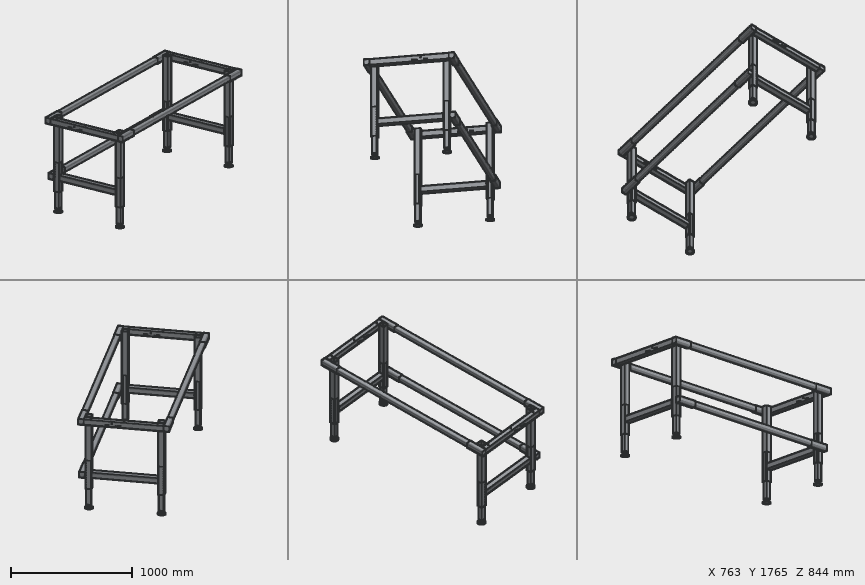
import cadquery as cq
LENGTH = 1765.0
WIDTH = 763.0
HEIGHT = 844.0

LEG_SIZE = 56.0
INNER_LEG_SIZE = 46.0
TUBE_WALL = 5.0
SOCKET_WIDTH = 50.0
SOCKET_HEIGHT = 56.0
RAIL_WIDTH = 45.0
RAIL_HEIGHT = 48.0
CORNER_RADIUS = 7.0
WIDE_CORNER_RADIUS = 10.0
SOCKET_BOTTOM_RADIUS = 9.0
TIGHT_CORNER_RADIUS = 2.6
RAIL_BOTTOM_RADIUS = 15.0

OUTER_LEG_BOTTOM = 184.0
INNER_LEG_BOTTOM = 32.0
INNER_LEG_TOP = 441.0
LEG_X = WIDTH / 2 - SOCKET_WIDTH - LEG_SIZE / 2
LEG_Y = LENGTH / 2 - SOCKET_WIDTH - LEG_SIZE / 2

BASE_DIAMETER = 70.0
BASE_HEIGHT = 4.0
PAD_DIAMETER = 48.0
PAD_TOP = 12.0
STUD_DIAMETER = 15.0
NUT_DIAMETER = 18.0
NUT_BOTTOM = 21.0
STUD_TOP = 46.0

SOCKET_X = WIDTH / 2 - SOCKET_WIDTH / 2
TOP_SOCKET_LENGTH = 170.0
LOW_SOCKET_LENGTH = 177.0
SOCKET_END_WALL = 4.0
TOP_SOCKET_END = LENGTH / 2
LOW_SOCKET_END = 839.0
TOP_LEVEL = HEIGHT - SOCKET_HEIGHT / 2
LOW_LEVEL = 310.0

TOP_HOLE_DIAMETER = 7.0
TOP_HOLE_SPACING = 279.0
SIDE_HOLE_DIAMETER = 7.0
SIDE_HOLES = [(-97.0, 820.0), (-65.0, 800.0)]
SLOT_HEIGHT = 7.0
SIDE_SLOTS = [(-140.0, 805.0, 30.0), (-35.0, 805.0, 25.0)]

CROSSBAR_Y = LENGTH / 2 - SOCKET_WIDTH / 2
TOP_CROSSBAR_LENGTH = WIDTH - 2 * SOCKET_WIDTH
LOW_CROSSBAR_LENGTH = 2 * LEG_X - LEG_SIZE


def rounded_bar(size, centre, axis, wide_side, radius, wide_radius):
    """Box along one axis; the two long edges on wide_side get wide_radius, the others radius."""
    opposite_side = wide_side.translate(str.maketrans("<>", "><"))
    bar = cq.Workplane("XY").box(*size)
    bar = bar.faces(wide_side).edges("|" + axis).fillet(wide_radius)
    bar = bar.faces(opposite_side).edges("|" + axis).fillet(radius)
    return bar.translate(centre)


def plain_box(size, centre):
    return cq.Workplane("XY").box(*size).translate(centre)


def vertical_cylinder(diameter, bottom, top):
    return cq.Workplane("XY").workplane(offset=bottom).circle(diameter / 2).extrude(top - bottom)



def outer_leg(x):
    """Square tube, open at both ends, with its wider corners toward the middle of the table."""
    length = HEIGHT - OUTER_LEG_BOTTOM
    centre = (x, LEG_Y, OUTER_LEG_BOTTOM + length / 2)
    return rounded_bar((LEG_SIZE, LEG_SIZE, length), centre, "Z", "<Y", CORNER_RADIUS, WIDE_CORNER_RADIUS)


def outer_leg_bore(x):
    bore = LEG_SIZE - 2 * TUBE_WALL
    length = HEIGHT - OUTER_LEG_BOTTOM
    return plain_box((bore, bore, length), (x, LEG_Y, OUTER_LEG_BOTTOM + length / 2))


def inner_leg(x):
    """Telescoping tube, open at the top and closed by a floor at the bottom."""
    length = INNER_LEG_TOP - INNER_LEG_BOTTOM
    centre = (x, LEG_Y, INNER_LEG_BOTTOM + length / 2)
    tube = rounded_bar(
        (INNER_LEG_SIZE, INNER_LEG_SIZE, length), centre, "Z", "<Y", TIGHT_CORNER_RADIUS, WIDE_CORNER_RADIUS
    )
    bore = INNER_LEG_SIZE - 2 * TUBE_WALL
    return tube.cut(plain_box((bore, bore, length), (x, LEG_Y, centre[2] + TUBE_WALL)))


def foot(x):
    """Levelling foot: thin base, raised pad, hexagonal nut and a stud that enters the leg."""
    base = vertical_cylinder(BASE_DIAMETER, 0, BASE_HEIGHT)
    pad = vertical_cylinder(PAD_DIAMETER, BASE_HEIGHT, PAD_TOP)
    stud = vertical_cylinder(STUD_DIAMETER, PAD_TOP, STUD_TOP)
    nut = cq.Workplane("XY").workplane(offset=NUT_BOTTOM).polygon(6, NUT_DIAMETER)
    nut = nut.extrude(INNER_LEG_BOTTOM - NUT_BOTTOM)
    return base.union(pad).union(stud).union(nut).translate((x, LEG_Y, 0))


def top_crossbar():
    """Hollow bar between the top sockets, with holes in its top and through both of its sides."""
    centre = (0, CROSSBAR_Y, TOP_LEVEL)
    size = (TOP_CROSSBAR_LENGTH, SOCKET_WIDTH, SOCKET_HEIGHT)
    bar = rounded_bar(size, centre, "X", ">Z", TIGHT_CORNER_RADIUS, CORNER_RADIUS)
    bore = (TOP_CROSSBAR_LENGTH, SOCKET_WIDTH - 2 * TUBE_WALL, SOCKET_HEIGHT - 2 * TUBE_WALL)
    bar = bar.cut(plain_box(bore, centre))

    for x in (-TOP_HOLE_SPACING, 0, TOP_HOLE_SPACING):
        hole = vertical_cylinder(TOP_HOLE_DIAMETER, TOP_LEVEL, HEIGHT)
        bar = bar.cut(hole.translate((x, CROSSBAR_Y, 0)))

    side = cq.Workplane("XZ", origin=(0, LENGTH / 2, 0))
    bar = bar.cut(side.pushPoints(SIDE_HOLES).circle(SIDE_HOLE_DIAMETER / 2).extrude(SOCKET_WIDTH))
    for x, z, length in SIDE_SLOTS:
        bar = bar.cut(side.center(x, z).slot2D(length, SLOT_HEIGHT).extrude(SOCKET_WIDTH))
    return bar


def low_crossbar():
    """Hollow bar between the two legs, flush with their inner and outer sides."""
    centre = (0, LEG_Y, LOW_LEVEL)
    size = (LOW_CROSSBAR_LENGTH, LEG_SIZE, SOCKET_HEIGHT)
    bar = rounded_bar(size, centre, "X", ">Z", CORNER_RADIUS, WIDE_CORNER_RADIUS)
    bore = (LOW_CROSSBAR_LENGTH, LEG_SIZE - 2 * TUBE_WALL, SOCKET_HEIGHT - 2 * TUBE_WALL)
    return bar.cut(plain_box(bore, centre))


def socket(x, level, outer_end, length):
    """Box closed at its outer end, with the recess that takes the end of a rail."""
    centre = (x, outer_end - length / 2, level)
    size = (SOCKET_WIDTH, length, SOCKET_HEIGHT)
    body = rounded_bar(size, centre, "Y", "<Z", CORNER_RADIUS, SOCKET_BOTTOM_RADIUS)
    return body.cut(rail(x, level, outer_end - SOCKET_END_WALL))


def end_frame():
    frame = top_crossbar().union(low_crossbar())
    for x in (-SOCKET_X, SOCKET_X):
        frame = frame.union(socket(x, TOP_LEVEL, TOP_SOCKET_END, TOP_SOCKET_LENGTH))
    frame = frame.union(socket(-SOCKET_X, LOW_LEVEL, LOW_SOCKET_END, LOW_SOCKET_LENGTH))
    for x in (-LEG_X, LEG_X):
        frame = frame.union(outer_leg(x)).cut(outer_leg_bore(x))
        frame = frame.union(inner_leg(x)).union(foot(x))
    return frame



def rail(x, level, half_length):
    """Solid envelope of a rail; its lower corners are the wider ones."""
    size = (RAIL_WIDTH, 2 * half_length, RAIL_HEIGHT)
    return rounded_bar(size, (x, 0, level), "Y", "<Z", TIGHT_CORNER_RADIUS, RAIL_BOTTOM_RADIUS)


far_frame = end_frame()
near_frame = far_frame.mirror("XZ")
top_rails = [rail(x, TOP_LEVEL, TOP_SOCKET_END - SOCKET_END_WALL) for x in (-SOCKET_X, SOCKET_X)]
low_rail = rail(-SOCKET_X, LOW_LEVEL, LOW_SOCKET_END - SOCKET_END_WALL)

result = cq.Compound.makeCompound(
    [far_frame.val(), near_frame.val(), *[top_rail.val() for top_rail in top_rails], low_rail.val()]
)